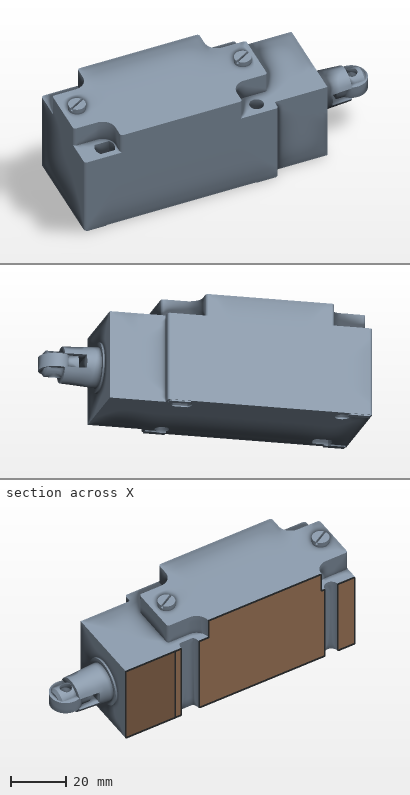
import cadquery as cq
import math

BOX_WIDTH = 40.0
BOX_LENGTH = 76.5
BOX_HEIGHT = 41.3
EDGE_ROUNDING = 1.0

STEP_WIDTH = 10.1
STEP_LENGTH = 14.3
STEP_FLOOR = 33.0
STEP_FILLET = 5.0

HOLE_SPACING_X = 30.0
HOLE_SPACING_Y = 60.0
REAR_HOLE_Y = 10.1
HOLE_DIAMETER = 5.4
LONG_HOLE_LENGTH = 7.5
LONG_HOLE_END_RADIUS = 4.5

SCREW_DIAMETER = 6.5
SCREW_HEIGHT = 2.3
SCREW_INSET = 5.5
SCREW_SLOT_WIDTH = 0.8
SCREW_SLOT_DEPTH = 1.2
SCREW_SLOT_ANGLE = 30

PAD_WIDTH = 2.5
PAD_LENGTH = 7.9
PAD_THICKNESS = 0.5
PAD_SIDE_INSET = 0.2
PAD_END_INSET = 0.7

HEAD_WIDTH = 33.0
HEAD_FRONT_Y = 97.5
HEAD_HEIGHT = STEP_FLOOR
AXIS_Z = HEAD_HEIGHT / 2

COLLAR_RADIUS = 9.2
COLLAR_THICKNESS = 0.7
GUIDE_BASE_RADIUS = 7.5
GUIDE_TIP_RADIUS = 6.7
GUIDE_TIP_Y = 111.6
GUIDE_SLOT_START_Y = 103.5

STEM_RADIUS = 4.8
STEM_START_Y = 106.1
STEM_TIP_Y = 118.5
STEM_CHAMFER_LENGTH = 1.0
STEM_CHAMFER_DEPTH = 1.2
ROLLER_TIP_Y = 120.0
ROLLER_RADIUS = 6.1
ROLLER_THICKNESS = 5.0
PIN_HOLE_DIAMETER = 4.5
ROLLER_Y = ROLLER_TIP_Y - ROLLER_RADIUS


def rod(radius, start_y, end_y):
    """Cylinder on the plunger axis between two Y positions."""
    start = cq.Vector(0, start_y, AXIS_Z)
    return cq.Workplane(cq.Solid.makeCylinder(radius, end_y - start_y, start, cq.Vector(0, 1, 0)))


def box(width, length, height, x, y, z):
    """Block centred on x and y, standing on z."""
    return cq.Workplane().box(width, length, height, centered=(True, True, False)).translate((x, y, z))


def corner_step(side_x, end_y):
    """Block to cut away at one box corner, with its upright edges filleted."""
    step = box(2 * STEP_WIDTH, 2 * STEP_LENGTH, BOX_HEIGHT, side_x * BOX_WIDTH / 2, end_y, STEP_FLOOR)
    return step.edges("|Z").fillet(STEP_FILLET)


def box_outline():
    """Box with its corner steps; upright edges on the outer faces are rounded."""
    base = box(BOX_WIDTH, BOX_LENGTH, STEP_FLOOR, 0, BOX_LENGTH / 2, 0)
    base = base.edges("|Z").fillet(EDGE_ROUNDING)
    upper = box(BOX_WIDTH, BOX_LENGTH, BOX_HEIGHT - STEP_FLOOR, 0, BOX_LENGTH / 2, STEP_FLOOR)
    for side_x in (-1, 1):
        for end_y in (0, BOX_LENGTH):
            upper = upper.cut(corner_step(side_x, end_y))
    side_edges = upper.edges("|Z").edges("<X or >X")
    end_edges = upper.edges("|Z").edges("<Y or >Y")
    upper = upper.newObject(side_edges.vals() + end_edges.vals()).fillet(EDGE_ROUNDING)
    return base.union(upper)


def round_hole(x, y):
    return cq.Workplane().circle(HOLE_DIAMETER / 2).extrude(BOX_HEIGHT).translate((x, y, -PAD_THICKNESS))


def long_hole(x, y):
    """Straight-sided hole with shallow arcs at both ends."""
    half_width = HOLE_DIAMETER / 2
    half_length = LONG_HOLE_LENGTH / 2
    arc_rise = LONG_HOLE_END_RADIUS - math.sqrt(LONG_HOLE_END_RADIUS**2 - half_width**2)
    side_end = half_length - arc_rise
    return (
        cq.Workplane()
        .moveTo(-half_width, -side_end)
        .threePointArc((0, -half_length), (half_width, -side_end))
        .lineTo(half_width, side_end)
        .threePointArc((0, half_length), (-half_width, side_end))
        .close()
        .extrude(BOX_HEIGHT)
        .translate((x, y, -PAD_THICKNESS))
    )


def cover_screw(y):
    """Slotted screw head standing on the top of the box."""
    head = cq.Workplane().circle(SCREW_DIAMETER / 2).extrude(SCREW_HEIGHT)
    slot = box(SCREW_SLOT_WIDTH, 2 * SCREW_DIAMETER, SCREW_HEIGHT, 0, 0, SCREW_HEIGHT - SCREW_SLOT_DEPTH)
    slot = slot.rotate((0, 0, 0), (0, 0, 1), SCREW_SLOT_ANGLE)
    return head.cut(slot).translate((0, y, BOX_HEIGHT))


def corner_pad(side_x, y):
    x = side_x * (BOX_WIDTH / 2 - PAD_SIDE_INSET - PAD_WIDTH / 2)
    return box(PAD_WIDTH, PAD_LENGTH, PAD_THICKNESS, x, y, -PAD_THICKNESS)


def head_and_guide():
    """Head block, collar and slotted conical guide."""
    head_length = HEAD_FRONT_Y - BOX_LENGTH
    head = box(HEAD_WIDTH, head_length, HEAD_HEIGHT, 0, BOX_LENGTH + head_length / 2, 0)
    collar = rod(COLLAR_RADIUS, HEAD_FRONT_Y, HEAD_FRONT_Y + COLLAR_THICKNESS)
    guide = cq.Workplane(
        cq.Solid.makeCone(
            GUIDE_BASE_RADIUS,
            GUIDE_TIP_RADIUS,
            GUIDE_TIP_Y - HEAD_FRONT_Y,
            cq.Vector(0, HEAD_FRONT_Y, AXIS_Z),
            cq.Vector(0, 1, 0),
        )
    )
    slot_length = GUIDE_TIP_Y - GUIDE_SLOT_START_Y
    slot_y = GUIDE_SLOT_START_Y + slot_length / 2
    slot = box(2 * COLLAR_RADIUS, slot_length, ROLLER_THICKNESS, 0, slot_y, AXIS_Z - ROLLER_THICKNESS / 2)
    return head.union(collar).union(guide.cut(slot))


def make_housing():
    body = box_outline()
    for screw_y in (SCREW_INSET, BOX_LENGTH - SCREW_INSET):
        body = body.union(cover_screw(screw_y))
    pad_y = PAD_END_INSET + PAD_LENGTH / 2
    for side_x in (-1, 1):
        for y in (pad_y, BOX_LENGTH - pad_y):
            body = body.union(corner_pad(side_x, y))
    hole_x = HOLE_SPACING_X / 2
    front_hole_y = REAR_HOLE_Y + HOLE_SPACING_Y
    body = body.cut(round_hole(-hole_x, REAR_HOLE_Y)).cut(round_hole(hole_x, front_hole_y))
    return body.cut(long_hole(hole_x, REAR_HOLE_Y)).cut(long_hole(-hole_x, front_hole_y))


def stem_and_roller():
    """Chamfered stem with pin holes reaching down to the roller disc from above and below."""
    stem = rod(STEM_RADIUS, STEM_START_Y, STEM_TIP_Y - STEM_CHAMFER_LENGTH)
    chamfer_start = cq.Vector(0, STEM_TIP_Y - STEM_CHAMFER_LENGTH, AXIS_Z)
    tip_radius = STEM_RADIUS - STEM_CHAMFER_DEPTH
    tip = cq.Solid.makeCone(STEM_RADIUS, tip_radius, STEM_CHAMFER_LENGTH, chamfer_start, cq.Vector(0, 1, 0))
    stem = stem.union(cq.Workplane(tip))
    roller_bottom = AXIS_Z - ROLLER_THICKNESS / 2
    pin_hole = cq.Workplane().circle(PIN_HOLE_DIAMETER / 2).extrude(HEAD_HEIGHT).translate((0, ROLLER_Y, 0))
    roller = cq.Workplane().circle(ROLLER_RADIUS).extrude(ROLLER_THICKNESS)
    return stem.cut(pin_hole).union(roller.translate((0, ROLLER_Y, roller_bottom)))


def make_actuator():
    """Head with its guide, stem and roller, flush against the front of the housing."""
    return head_and_guide().union(stem_and_roller())


housing = make_housing()
actuator = make_actuator()

result = cq.Compound.makeCompound([housing.val(), actuator.val()])